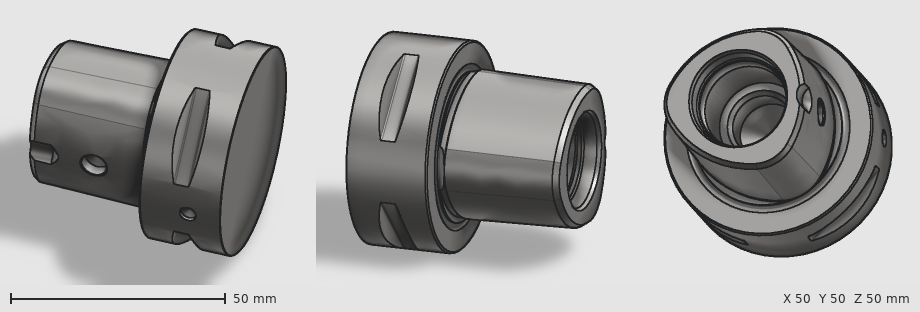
import cadquery as cq
import math

total_length = 50.0
flange_radius = 25.0
flange_start = 30.0
front_chamfer = 0.4
rear_chamfer = 0.15

lobe_offset = 8.5
end_tip_radius = 8.6
small_tip_radius = 9.55
large_tip_radius = 10.2
neck_tip_radius = 10.0
shank_chamfer = 1.4
taper_end = 27.9
neck_start = 28.1

collar_start = 29.6
collar_radius = 17.8
relief_start_radius = 18.7
relief_middle = (28.6, 18.05)
relief_outer_radius = 22.5
face_groove_radius = 19.6
face_groove_depth = 0.5

mouth_radius = 11.8
entry_radius = 11.3
entry_end_radius = 10.9
lip_radius = 10.5
main_bore_radius = 10.2
pilot_mouth_radius = 8.3
pilot_radius = 7.25
mouth_depth = 0.95
entry_depth = 4.0
lip_start = 4.5
lip_end = 5.5
grip_groove_radius = 11.75
grip_groove_start = 6.5
grip_groove_end = 8.25
main_bore_start = 9.3
main_bore_depth = 24.0
pilot_start = 25.0
pilot_depth = 32.5
drill_half_angle = math.radians(59)

notch_radius = 3.6
notch_axis_y = -17.6
notch_length = 5.5
notch_tip_length = notch_radius

side_hole_x = 16.1
side_hole_radius = 3.05
side_hole_mouth_radius = 3.35
side_hole_mouth_y = -16.05
side_hole_chamfer = 0.3
side_hole_bottom_y = -13.0
mark_x = 42.05
mark_radius = 2.0
mark_depth = 1.0

slot_count = 4
slot_x = 40.05
slot_floor_distance = 22.2
slot_floor_width = 3.6
slot_wall_angle = math.radians(30)
slot_corner_radius = 0.4
slot_cut_height = 4.0


def revolve_about_x(profile):
    """Turn a closed (X, radius) outline around the X axis."""
    return profile.close().revolve(360, (0, 0, 0), (1, 0, 0))


def lobed_wire(x, tip_radius):
    """Six-arc three-lobed outline with one lobe pointing to +Y."""
    flank_radius = tip_radius + math.sqrt(3) * lobe_offset

    def arc_point(centre_angle, radius, direction):
        centre = math.radians(centre_angle)
        ray = math.radians(direction)
        y = lobe_offset * math.cos(centre) + radius * math.cos(ray)
        z = lobe_offset * math.sin(centre) + radius * math.sin(ray)
        return y, z

    outline = cq.Workplane("YZ", origin=(x, 0, 0)).moveTo(*arc_point(0, tip_radius, -30))
    for lobe in (0, 120, 240):
        outline = outline.threePointArc(
            arc_point(lobe, tip_radius, lobe), arc_point(lobe, tip_radius, lobe + 30)
        )
        outline = outline.threePointArc(
            arc_point(lobe + 240, flank_radius, lobe + 60),
            arc_point(lobe + 240, flank_radius, lobe + 90),
        )
    return outline.close().val()


def lobed_section(x_start, start_tip_radius, x_end, end_radius):
    wires = [lobed_wire(x_start, start_tip_radius), lobed_wire(x_end, end_radius)]
    return cq.Workplane(cq.Solid.makeLoft(wires, True))


def make_shank():
    shank = lobed_section(0, end_tip_radius, shank_chamfer, small_tip_radius)
    shank = shank.union(lobed_section(shank_chamfer, small_tip_radius, taper_end, large_tip_radius))
    shank = shank.union(lobed_section(taper_end, large_tip_radius, neck_start, neck_tip_radius))
    neck_end = flange_start + 2 * face_groove_depth
    shank = shank.union(lobed_section(neck_start, neck_tip_radius, neck_end, neck_tip_radius))
    relief = revolve_about_x(
        cq.Workplane("XY")
        .moveTo(taper_end, relief_outer_radius)
        .lineTo(taper_end, relief_start_radius)
        .threePointArc(relief_middle, (collar_start, collar_radius))
        .lineTo(neck_end, collar_radius)
        .lineTo(neck_end, relief_outer_radius)
    )
    return shank.cut(relief)


def make_flange():
    flange = cq.Workplane("YZ", origin=(flange_start, 0, 0)).circle(flange_radius)
    flange = flange.extrude(total_length - flange_start)
    flange = flange.faces("<X").chamfer(front_chamfer).faces(">X").chamfer(rear_chamfer)
    groove_middle = (collar_radius + face_groove_radius) / 2
    face_groove = revolve_about_x(
        cq.Workplane("XY")
        .moveTo(flange_start, collar_radius)
        .threePointArc((flange_start + face_groove_depth, groove_middle), (flange_start, face_groove_radius))
    )
    collar = cq.Workplane("YZ", origin=(collar_start, 0, 0)).circle(collar_radius)
    collar = collar.extrude(flange_start - collar_start)
    return flange.cut(face_groove).union(collar)


def make_bore():
    tip_depth = pilot_depth + pilot_radius / math.tan(drill_half_angle)
    return revolve_about_x(
        cq.Workplane("XY").polyline([
            (0, 0),
            (0, mouth_radius),
            (mouth_depth, entry_radius),
            (entry_depth, entry_end_radius),
            (lip_start, lip_radius),
            (lip_end, lip_radius),
            (grip_groove_start, grip_groove_radius),
            (grip_groove_end, grip_groove_radius),
            (main_bore_start, main_bore_radius),
            (main_bore_depth, main_bore_radius),
            (main_bore_depth, pilot_mouth_radius),
            (pilot_start, pilot_radius),
            (pilot_depth, pilot_radius),
            (tip_depth, 0),
        ])
    )


def make_notch():
    return (
        cq.Workplane("XY")
        .polyline([
            (0, notch_axis_y),
            (0, notch_axis_y + notch_radius),
            (notch_length, notch_axis_y + notch_radius),
            (notch_length + notch_tip_length, notch_axis_y),
        ])
        .close()
        .revolve(360, (0, notch_axis_y, 0), (1, notch_axis_y, 0))
    )


def make_side_hole():
    """Blind drilled hole along Y with a chamfered mouth."""
    tip_y = side_hole_bottom_y + side_hole_radius / math.tan(drill_half_angle)
    return (
        cq.Workplane("XY")
        .polyline([
            (side_hole_x, -flange_radius),
            (side_hole_x + side_hole_mouth_radius, -flange_radius),
            (side_hole_x + side_hole_mouth_radius, side_hole_mouth_y),
            (side_hole_x + side_hole_radius, side_hole_mouth_y + side_hole_chamfer),
            (side_hole_x + side_hole_radius, side_hole_bottom_y),
            (side_hole_x, tip_y),
        ])
        .close()
        .revolve(360, (side_hole_x, 0, 0), (side_hole_x, 1, 0))
    )


def make_centre_mark():
    bottom_y = -flange_radius + mark_depth
    tip_y = bottom_y + mark_radius / math.tan(drill_half_angle)
    return (
        cq.Workplane("XY")
        .polyline([
            (mark_x, -flange_radius),
            (mark_x + mark_radius, -flange_radius),
            (mark_x + mark_radius, bottom_y),
            (mark_x, tip_y),
        ])
        .close()
        .revolve(360, (mark_x, 0, 0), (mark_x, 1, 0))
    )


def make_spanner_slot():
    """Flared slot cutter on the +Z side, with rounded floor corners."""
    floor_half = slot_floor_width / 2
    top_half = floor_half + slot_cut_height * math.tan(slot_wall_angle)
    top = slot_floor_distance + slot_cut_height
    cutter = (
        cq.Workplane("XZ")
        .polyline([
            (slot_x - floor_half, slot_floor_distance),
            (slot_x + floor_half, slot_floor_distance),
            (slot_x + top_half, top),
            (slot_x - top_half, top),
        ])
        .close()
        .extrude(flange_radius, both=True)
    )
    return cutter.faces("<Z").edges("|Y").fillet(slot_corner_radius)


body = make_flange().union(make_shank())
body = body.cut(make_bore()).cut(make_notch()).cut(make_side_hole()).cut(make_centre_mark())
spanner_slot = make_spanner_slot()
slot_spacing = 360 / slot_count
for index in range(slot_count):
    angle = (index + 0.5) * slot_spacing
    body = body.cut(spanner_slot.rotate((0, 0, 0), (1, 0, 0), angle))

result = body